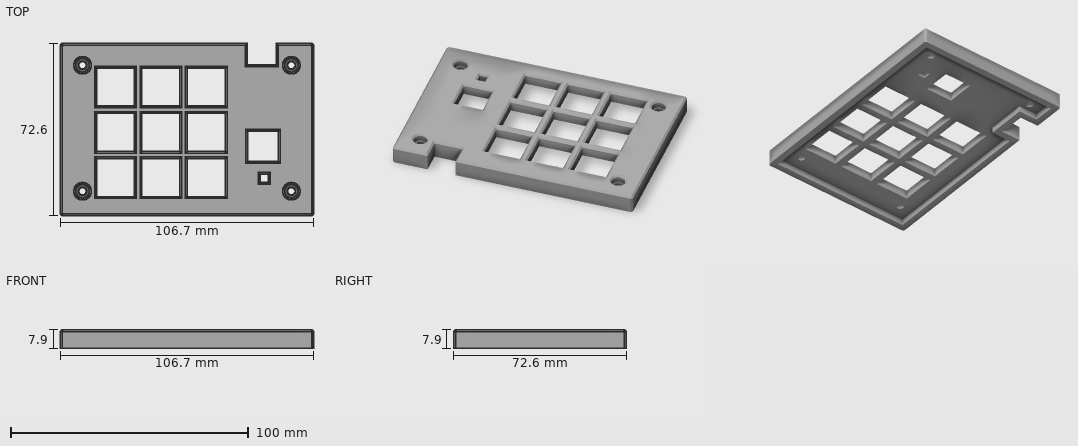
import cadquery as cq

length = 106.7
width = 72.6
height = 7.9
edge_chamfer = 0.8

deck_thickness = 5.0
wall_thickness = 3.0

notch_width = 12.4
notch_center_x = 31.5
notch_depth = 9.1

key_rows = 3
key_columns = 3
key_pitch = 19.1
key_size = 15.9
key_grid_center = (-11.0, -1.2)

display_size = 12.8
display_center = (32.0, -7.0)
button_size = 3.4
button_center = (32.5, -20.6)

screw_spacing_x = 87.9
screw_spacing_y = 53.0
screw_center_y = 0.5
screw_diameter = 3.2
head_diameter = 5.8
head_depth = 3.0


def notch_block(margin, block_height):
    """Box that fills the notch, grown sideways and inward by a margin."""
    block_width = notch_width + 2 * margin
    block_depth = notch_depth + margin
    block_center_y = width / 2 - block_depth / 2
    return (
        cq.Workplane("XY")
        .center(notch_center_x, block_center_y)
        .rect(block_width, block_depth)
        .extrude(block_height)
    )


def case_shell():
    """Chamfered, notched block, hollowed from below behind an even wall."""
    block = cq.Workplane("XY").box(length, width, height, centered=(True, True, False))
    block = block.edges("|Z").chamfer(edge_chamfer)
    block = block.cut(notch_block(0, height))
    block = block.faces(">Z").edges().chamfer(edge_chamfer)

    cavity_length = length - 2 * wall_thickness
    cavity_width = width - 2 * wall_thickness
    cavity_depth = height - deck_thickness
    cavity = cq.Workplane("XY").rect(cavity_length, cavity_width).extrude(cavity_depth)
    cavity = cavity.cut(notch_block(wall_thickness, cavity_depth))
    return block.cut(cavity)


def window(size, center):
    """Cutter for a square opening through the deck with a chamfered top rim."""
    opening = cq.Workplane("XY").center(*center).rect(size, size).extrude(height)
    rim_size = size + 2 * edge_chamfer
    rim = (
        cq.Workplane("XY", origin=(0, 0, height))
        .center(*center)
        .rect(rim_size, rim_size)
        .workplane(offset=-edge_chamfer)
        .rect(size, size)
        .loft(ruled=True)
    )
    return opening.union(rim)


def screw_hole(x, y):
    """Cutter for a counterbored screw hole with a chamfered top rim."""
    screw_radius = screw_diameter / 2
    head_radius = head_diameter / 2
    seat_z = height - head_depth
    return (
        cq.Workplane("XZ")
        .polyline([
            (0, 0),
            (screw_radius, 0),
            (screw_radius, seat_z),
            (head_radius, seat_z),
            (head_radius, height - edge_chamfer),
            (head_radius + edge_chamfer, height),
            (0, height),
        ])
        .close()
        .revolve(360, (0, 0, 0), (0, 1, 0))
        .translate((x, y, 0))
    )


result = case_shell()

for column in range(key_columns):
    for row in range(key_rows):
        key_x = key_grid_center[0] + (column - (key_columns - 1) / 2) * key_pitch
        key_y = key_grid_center[1] + (row - (key_rows - 1) / 2) * key_pitch
        result = result.cut(window(key_size, (key_x, key_y)))

result = result.cut(window(display_size, display_center))
result = result.cut(window(button_size, button_center))

for side_x in (-1, 1):
    for side_y in (-1, 1):
        screw_x = side_x * screw_spacing_x / 2
        screw_y = screw_center_y + side_y * screw_spacing_y / 2
        result = result.cut(screw_hole(screw_x, screw_y))